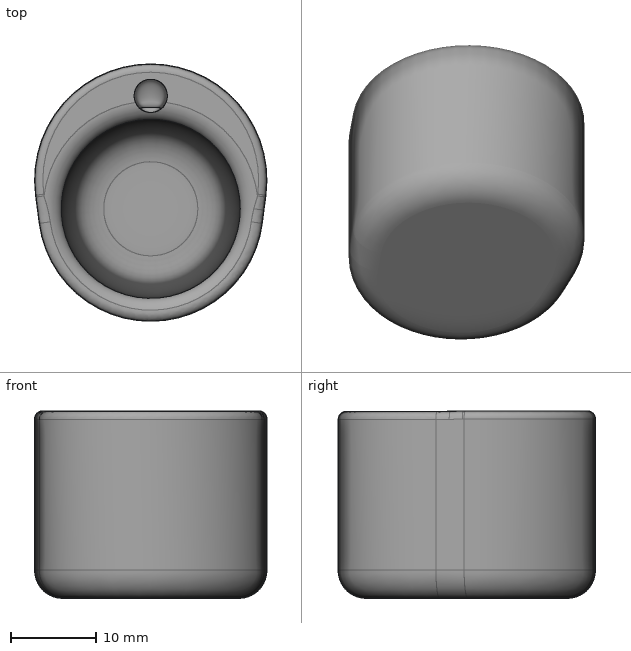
import cadquery as cq
import math

height = 22.0
length = 30.18
width = 27.25
front_radius = 13.2
back_radius = width / 2
back_center_y = length - front_radius - back_radius
bottom_round = 3.32
rim_round = 0.97

bore_radius = 21.0 / 2
lip_round = 2.1
dish_round = 4.98
floor_thickness = 2.0

hole_diameter = 3.9
hole_center_y = 13.25
hole_depth = 2.0

shoulder_radius = 23.8 / 2
shoulder_round = 1.0


def make_body():
    """Egg-shaped block with a rounded bottom edge."""
    tangent_sine = (back_radius - front_radius) / back_center_y
    tangent_cosine = math.sqrt(1 - tangent_sine**2)
    back_x = back_radius * tangent_cosine
    back_y = back_center_y - back_radius * tangent_sine
    front_x = front_radius * tangent_cosine
    front_y = -front_radius * tangent_sine
    block = (
        cq.Workplane("XY")
        .moveTo(back_x, back_y)
        .threePointArc((0, back_center_y + back_radius), (-back_x, back_y))
        .lineTo(-front_x, front_y)
        .threePointArc((0, -front_radius), (front_x, front_y))
        .close()
        .extrude(height)
    )
    return block.faces("<Z").edges().fillet(bottom_round)


def make_bore():
    """Round cavity with a flat floor and a dished lower corner."""
    cavity = (
        cq.Workplane("XY")
        .workplane(offset=floor_thickness)
        .circle(bore_radius)
        .extrude(height - floor_thickness)
    )
    return cavity.faces("<Z").edges().fillet(dish_round)


def round_top(part):
    """Round the bore lip first, then roll the outer rim into it where the wall is thin."""
    margin = 0.3
    bore_reach = bore_radius + margin
    bore_edge = cq.selectors.BoxSelector(
        (-bore_reach, -bore_reach, height - margin),
        (bore_reach, bore_reach, height + margin),
        boundingbox=True,
    )
    part = part.edges(bore_edge).fillet(lip_round)
    return part.faces(">Z").edges(">Y").fillet(rim_round)


def make_hole():
    """Blind hole, less the rounded shoulder that rises from its floor next to the bore."""
    hole_floor = height - hole_depth
    hole = (
        cq.Workplane("XY", origin=(0, hole_center_y, hole_floor))
        .circle(hole_diameter / 2)
        .extrude(hole_depth)
    )
    shoulder = (
        cq.Workplane("XY", origin=(0, 0, hole_floor - shoulder_round))
        .circle(shoulder_radius)
        .extrude(2 * shoulder_round)
        .faces(">Z")
        .edges()
        .fillet(shoulder_round)
    )
    return hole.cut(shoulder)


result = round_top(make_body().cut(make_bore())).cut(make_hole())